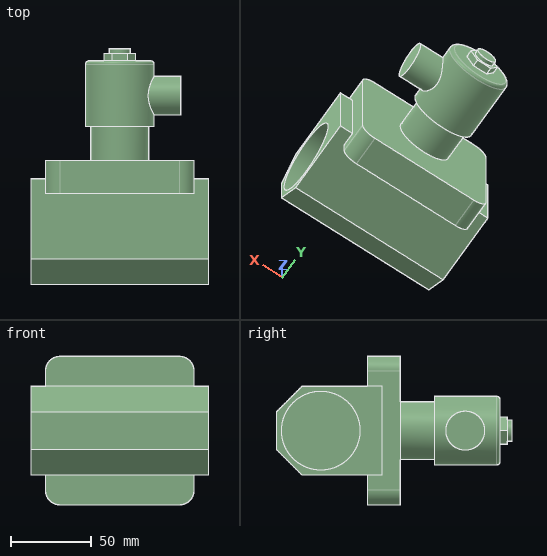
import cadquery as cq
import math


BLOCK_LENGTH = 110.0
BLOCK_HEIGHT = 55.0
BLOCK_DEPTH = 65.5
FRONT_CHAMFER = 15.9
PORT_DIAMETER = 48.7
PORT_DEPTH = 17.5
PORT_AXIS_Y = BLOCK_HEIGHT / 2

FLANGE_SIDE = 92.0
FLANGE_FRONT_Y = 56.3
FLANGE_BACK_Y = 76.7
FLANGE_CORNER_RADIUS = 9.2

STEM_DIAMETER = 36.0
COIL_DIAMETER = 42.6
COIL_FRONT_Y = 97.7
COIL_BACK_Y = 138.5
COIL_EDGE_RADIUS = 2.2
CONNECTOR_DIAMETER = 24.0
CONNECTOR_AXIS_Y = 116.8
CONNECTOR_END_X = 37.8
NUT_ACROSS_FLATS = 17.0
NUT_BACK_Y = 143.0
TIP_DIAMETER = 13.3
TIP_BACK_Y = 145.9


def plane_at_y(y):
    """Workplane facing +Y at the given position."""
    return cq.Workplane(cq.Plane(origin=(0, y, 0), xDir=(1, 0, 0), normal=(0, 1, 0)))


def cylinder_along_y(diameter, start_y, end_y):
    return plane_at_y(start_y).circle(diameter / 2).extrude(end_y - start_y)


def make_block():
    """Block with its two long front edges chamfered."""
    return (
        cq.Workplane("XY")
        .box(BLOCK_LENGTH, BLOCK_DEPTH, BLOCK_HEIGHT)
        .translate((0, BLOCK_DEPTH / 2, 0))
        .faces("<Y")
        .edges("|X")
        .chamfer(FRONT_CHAMFER)
    )


def make_flange():
    """Square mounting flange with rounded corners."""
    return (
        plane_at_y(FLANGE_FRONT_Y)
        .rect(FLANGE_SIDE, FLANGE_SIDE)
        .extrude(FLANGE_BACK_Y - FLANGE_FRONT_Y)
        .edges("|Y")
        .fillet(FLANGE_CORNER_RADIUS)
    )


def make_port(side):
    """Blind port cutter entering the block from the -X (side = -1) or +X (side = 1) end."""
    return (
        cq.Workplane("YZ", origin=(side * BLOCK_LENGTH / 2, 0, 0))
        .center(PORT_AXIS_Y, 0)
        .circle(PORT_DIAMETER / 2)
        .extrude(-side * PORT_DEPTH)
    )


def make_valve_body():
    body = make_block().union(make_flange())
    for side in (-1, 1):
        body = body.cut(make_port(side))
    return body


def make_coil():
    """Coil cylinder with a rounded back edge."""
    coil = cylinder_along_y(COIL_DIAMETER, COIL_FRONT_Y, COIL_BACK_Y)
    return coil.faces(">Y").edges().fillet(COIL_EDGE_RADIUS)


def make_connector():
    """Round cable connector running from the coil axis out to +X."""
    return (
        cq.Workplane("YZ")
        .center(CONNECTOR_AXIS_Y, 0)
        .circle(CONNECTOR_DIAMETER / 2)
        .extrude(CONNECTOR_END_X)
    )


def make_nut():
    """Hexagonal nut on the back of the coil, with two corners on the X axis."""
    across_corners = NUT_ACROSS_FLATS / math.cos(math.pi / 6)
    return plane_at_y(COIL_BACK_Y).polygon(6, across_corners).extrude(NUT_BACK_Y - COIL_BACK_Y)


def make_solenoid():
    stem = cylinder_along_y(STEM_DIAMETER, FLANGE_BACK_Y, COIL_FRONT_Y)
    tip = cylinder_along_y(TIP_DIAMETER, NUT_BACK_Y, TIP_BACK_Y)
    return stem.union(make_coil()).union(make_connector()).union(make_nut()).union(tip)


valve_body = make_valve_body()
solenoid = make_solenoid()

result = cq.Compound.makeCompound([valve_body.solids().val(), solenoid.solids().val()])